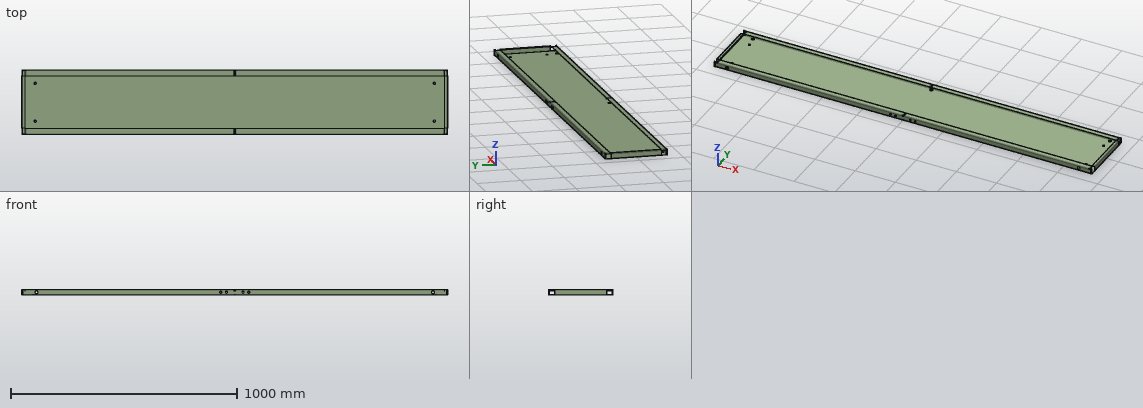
import cadquery as cq

wall_length = 1880.0
overall_length = 1883.02
width = 286.0
height = 25.0
sheet = 1.5
bend_radius = 2.5

side_flange_width = 26.0
end_flange_width = 14.0
end_wall_width = 230.0
side_flange_setback = 12.0
centre_gap = 2.0

lip_bend_radius = 4.5
lip_depth = 6.0
post_length = 5.0
post_depth = 5.0

floor_hole_diameter = 9.0
floor_hole_spacing_x = 1764.0
floor_hole_spacing_y = 167.0

edge_hole_diameter = 13.0
edge_hole_spacing_x = 1778.0
edge_hole_spacing_y = 262.0

end_hole_diameter = 13.0
end_hole_spacing = 1752.0
centre_hole_diameter = 8.0
centre_hole_spacings = (73.0, 124.0)

half_wall_length = wall_length / 2
half_width = width / 2
flange_start = centre_gap / 2
flange_end = half_wall_length - side_flange_setback


def channel(span, length, flange_width):
    """Floor, two walls and two inward top flanges across X, running along Y."""
    outer = cq.Workplane("XZ").rect(span, height).extrude(length / 2, both=True)
    outer = outer.edges("|Y").fillet(bend_radius)
    inner_span = span - 2 * sheet
    inner_height = height - 2 * sheet
    inner = cq.Workplane("XZ").rect(inner_span, inner_height).extrude(length / 2, both=True)
    inner = inner.edges("|Y").fillet(bend_radius - sheet)
    opening = cq.Workplane("XY").rect(span - 2 * flange_width, length).extrude(height)
    return outer.cut(inner).cut(opening).translate((0, 0, height / 2))


def on_all_corners(shape):
    """A shape from the +X +Y quarter, mirrored into all four quarters."""
    pair = shape.union(shape.mirror("YZ"))
    return pair.union(pair.mirror("XZ"))


def side_channel():
    """Long channel whose top flanges stop short of the ends and are split at mid length."""
    body = channel(width, wall_length, side_flange_width).rotate((0, 0, 0), (0, 0, 1), 90)
    centre_cut_length = centre_gap + 2 * lip_bend_radius
    end_cut_length = side_flange_setback + lip_bend_radius
    end_cut_centre = half_wall_length - end_cut_length / 2
    flange_cuts = (
        (-end_cut_centre, end_cut_length),
        (0, centre_cut_length),
        (end_cut_centre, end_cut_length),
    )
    flat_width = width - 2 * bend_radius
    for x, cut_length in flange_cuts:
        body = body.cut(cq.Workplane("XY").box(cut_length, flat_width, height).translate((x, 0, height)))
    return body


def flange_lips():
    """Flange ends rolled down through 90 degrees."""
    inner_radius = lip_bend_radius - sheet
    lip = (
        cq.Workplane("XZ")
        .moveTo(-lip_bend_radius, 0)
        .radiusArc((0, -lip_bend_radius), lip_bend_radius)
        .lineTo(0, -lip_depth)
        .lineTo(-sheet, -lip_depth)
        .lineTo(-sheet, -lip_bend_radius)
        .radiusArc((-lip_bend_radius, -sheet), -inner_radius)
        .close()
        .extrude(side_flange_width - bend_radius)
    )
    y = half_width - bend_radius
    outer_lip = lip.translate((flange_end, y, height))
    inner_lip = lip.mirror("YZ").translate((flange_start, y, height))
    return on_all_corners(outer_lip.union(inner_lip))


def corner_posts():
    post = cq.Workplane("XY").box(post_length, post_depth, height, centered=False)
    return on_all_corners(post.translate((half_wall_length - post_length, half_width - post_depth, 0)))


def floor_holes(spacing_x, spacing_y, columns, diameter):
    """Cutters through the floor: two rows of evenly spaced holes."""
    pitch = spacing_x / (columns - 1)
    holes = cq.Workplane("XY").rarray(pitch, spacing_y, columns, 2).circle(diameter / 2)
    return holes.extrude(height / 2)


def wall_holes(spacing, diameter):
    """Cutters through both side walls at mid height."""
    points = [(side * spacing / 2, height / 2) for side in (-1, 1)]
    return cq.Workplane("XZ").pushPoints(points).circle(diameter / 2).extrude(width, both=True)


result = side_channel()
result = result.union(channel(overall_length, end_wall_width, end_flange_width))
result = result.union(flange_lips()).union(corner_posts())
result = result.cut(floor_holes(floor_hole_spacing_x, floor_hole_spacing_y, 2, floor_hole_diameter))
result = result.cut(floor_holes(edge_hole_spacing_x, edge_hole_spacing_y, 3, edge_hole_diameter))
result = result.cut(wall_holes(end_hole_spacing, end_hole_diameter))
for centre_hole_spacing in centre_hole_spacings:
    result = result.cut(wall_holes(centre_hole_spacing, centre_hole_diameter))